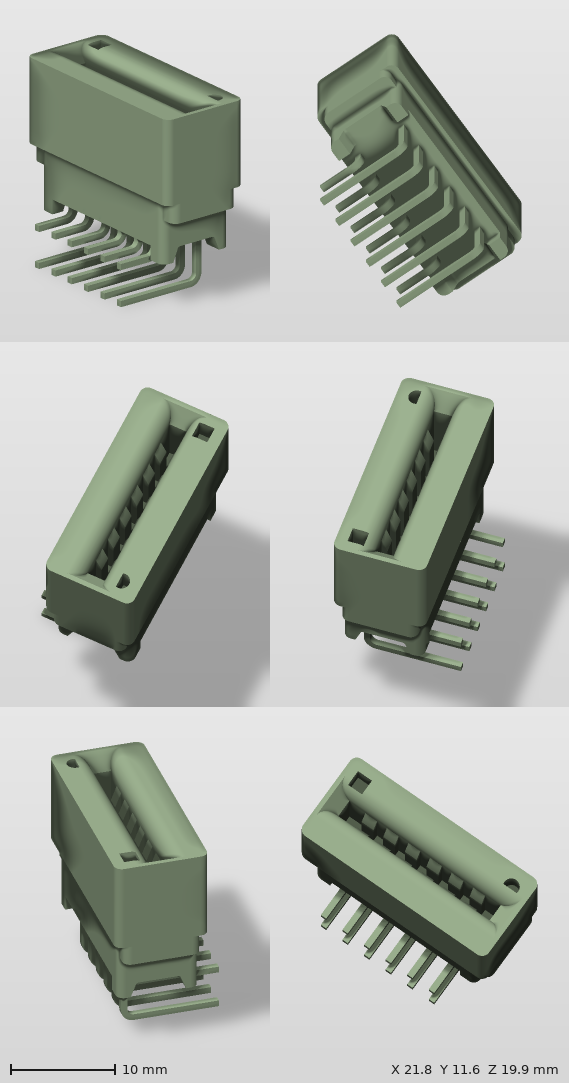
import cadquery as cq
import math


BODY_LENGTH = 21.84
BODY_WIDTH = 9.35
OVERALL_HEIGHT = 19.93
OVERALL_WIDTH = 11.63
BODY_HEIGHT = 8.89
CORNER_RADIUS = 0.815

EAR_WIDTH = 7.68
EAR_BOTTOM = -10.92

BASE_LENGTH = 19.0
BASE_WIDTH = 8.13
LEG_BOTTOM = -15.49
BASE_UNDERSIDE = -13.97
LEG_SPACING = 15.24
ARCH_MOUTH_WIDTH = 5.56
ARCH_ROOF_WIDTH = 4.34
ARCH_FILLET = 0.3

SLOT_LENGTH = 17.8
SLOT_WIDTH = 1.88
SLOT_DEPTH = 7.62
MOUTH_LENGTH = 20.87
LEAD_IN_RADIUS = 1.524
MOUTH_WIDTH = SLOT_WIDTH + 2 * LEAD_IN_RADIUS

SOCKET_X = 8.89
SOCKET_Y = 2.68
SOCKET_SIZE = 1.63
SOCKET_DEPTH = 2.54

PIN_COUNT = 6
PITCH = 2.54
CONTACT_WIDTH = 1.4
CONTACT_PROTRUSION = 0.6
CONTACT_RAMP_TOP = -2.1
CONTACT_RAMP_HEIGHT = 1.524
CONTACT_EMBED = 0.5
PIN_THICKNESS = 0.635
PIN_ROW_Y = 2.54
PIN_ROW_RISE = 3.81
PIN_EMBED = 1.0
BEND_RADIUS = 0.635

PIN_TIP_Y = BODY_WIDTH / 2 - OVERALL_WIDTH
COLUMN_X = [(i - (PIN_COUNT - 1) / 2) * PITCH for i in range(PIN_COUNT)]


def rounded_block(length, width, top, bottom):
    """Block centred in X and Y with rounded vertical corners."""
    block = cq.Workplane("XY", origin=(0, 0, bottom)).rect(length, width).extrude(top - bottom)
    return block.edges("|Z").fillet(CORNER_RADIUS)


def extrude_along_x(profile, length, center_x=0):
    """Extrude a closed YZ profile symmetrically about the plane X = center_x."""
    return profile.extrude(length / 2, both=True).translate((center_x, 0, 0))


def housing():
    """Body, ears and base block, with the underside relieved between the legs."""
    body = rounded_block(BODY_LENGTH, BODY_WIDTH, 0, -BODY_HEIGHT)
    ears = rounded_block(BODY_LENGTH, EAR_WIDTH, -BODY_HEIGHT, EAR_BOTTOM)
    base = rounded_block(BASE_LENGTH, BASE_WIDTH, -BODY_HEIGHT, LEG_BOTTOM)
    relief_height = BASE_UNDERSIDE - LEG_BOTTOM
    relief = cq.Workplane("XY", origin=(0, 0, LEG_BOTTOM)).rect(LEG_SPACING, BASE_WIDTH)
    relief = relief.extrude(relief_height)
    return body.union(ears).union(base).cut(relief).cut(leg_arch())


def leg_arch():
    """Tapered channel along X that splits each leg into two feet."""
    profile = (
        cq.Workplane("YZ")
        .moveTo(-ARCH_MOUTH_WIDTH / 2, LEG_BOTTOM)
        .lineTo(-ARCH_ROOF_WIDTH / 2, BASE_UNDERSIDE)
        .lineTo(ARCH_ROOF_WIDTH / 2, BASE_UNDERSIDE)
        .lineTo(ARCH_MOUTH_WIDTH / 2, LEG_BOTTOM)
        .close()
    )
    return extrude_along_x(profile, BASE_LENGTH).edges("|X and >Z").fillet(ARCH_FILLET)


def card_slot():
    """Straight slot below a mouth with convex long sides and sloped ends."""
    slot = cq.Workplane("XY").rect(SLOT_LENGTH, SLOT_WIDTH).extrude(-SLOT_DEPTH)
    arc_offset = LEAD_IN_RADIUS * math.sqrt(0.5)
    arc_mid_y = MOUTH_WIDTH / 2 - arc_offset
    arc_mid_z = arc_offset - LEAD_IN_RADIUS
    flare = extrude_along_x(
        cq.Workplane("YZ")
        .moveTo(-MOUTH_WIDTH / 2, 0)
        .threePointArc((-arc_mid_y, arc_mid_z), (-SLOT_WIDTH / 2, -LEAD_IN_RADIUS))
        .lineTo(SLOT_WIDTH / 2, -LEAD_IN_RADIUS)
        .threePointArc((arc_mid_y, arc_mid_z), (MOUTH_WIDTH / 2, 0))
        .close(),
        MOUTH_LENGTH,
    )
    end_limits = (
        cq.Workplane("XZ")
        .moveTo(-MOUTH_LENGTH / 2, 0)
        .lineTo(-SLOT_LENGTH / 2, -LEAD_IN_RADIUS)
        .lineTo(SLOT_LENGTH / 2, -LEAD_IN_RADIUS)
        .lineTo(MOUTH_LENGTH / 2, 0)
        .close()
        .extrude(MOUTH_WIDTH, both=True)
    )
    return slot.union(flare.intersect(end_limits))


def square_socket():
    """Square socket that also breaks into the lead-in."""
    socket = cq.Workplane("XY").rect(SOCKET_SIZE, SOCKET_SIZE).extrude(-SOCKET_DEPTH)
    return socket.translate((-SOCKET_X, SOCKET_Y, 0))


def round_socket():
    """Round socket cut off flat where it reaches the edge of the mouth."""
    socket = cq.Workplane("XY").circle(SOCKET_SIZE / 2).extrude(-SOCKET_DEPTH)
    keep = cq.Workplane("XY").rect(SOCKET_SIZE, SOCKET_SIZE).extrude(-SOCKET_DEPTH)
    keep = keep.translate((0, MOUTH_WIDTH / 2 + SOCKET_SIZE / 2 - SOCKET_Y, 0))
    return socket.intersect(keep).translate((SOCKET_X, SOCKET_Y, 0))


def contact(x, side):
    """Contact with a ramped top on the slot wall at +Y (side = 1) or -Y (side = -1)."""
    wall = SLOT_WIDTH / 2
    back = side * (wall + CONTACT_EMBED)
    front = side * (wall - CONTACT_PROTRUSION)
    profile = (
        cq.Workplane("YZ")
        .moveTo(back, CONTACT_RAMP_TOP)
        .lineTo(side * wall, CONTACT_RAMP_TOP)
        .lineTo(front, CONTACT_RAMP_TOP - CONTACT_RAMP_HEIGHT)
        .lineTo(front, -SLOT_DEPTH)
        .lineTo(back, -SLOT_DEPTH)
        .close()
    )
    return extrude_along_x(profile, CONTACT_WIDTH, x)


def pin(x, row_y, tail_bottom):
    """Square pin that drops from the base and bends to a horizontal tail toward -Y."""
    stem_back = row_y + PIN_THICKNESS / 2
    stem_front = row_y - PIN_THICKNESS / 2
    tail_top = tail_bottom + PIN_THICKNESS
    stem_top = BASE_UNDERSIDE + PIN_EMBED
    bend_y = stem_front - BEND_RADIUS
    bend_z = tail_top + BEND_RADIUS
    outer_offset = (BEND_RADIUS + PIN_THICKNESS) * math.sqrt(0.5)
    inner_offset = BEND_RADIUS * math.sqrt(0.5)
    profile = (
        cq.Workplane("YZ")
        .moveTo(stem_back, stem_top)
        .lineTo(stem_back, bend_z)
        .threePointArc((bend_y + outer_offset, bend_z - outer_offset), (bend_y, tail_bottom))
        .lineTo(PIN_TIP_Y, tail_bottom)
        .lineTo(PIN_TIP_Y, tail_top)
        .lineTo(bend_y, tail_top)
        .threePointArc((bend_y + inner_offset, bend_z - inner_offset), (stem_front, bend_z))
        .lineTo(stem_front, stem_top)
        .close()
    )
    return extrude_along_x(profile, PIN_THICKNESS, x)


result = housing().cut(card_slot()).cut(square_socket()).cut(round_socket())
for column in COLUMN_X:
    result = result.union(contact(column, 1)).union(contact(column, -1))
    result = result.union(pin(column, PIN_ROW_Y, -OVERALL_HEIGHT))
    result = result.union(pin(column, -PIN_ROW_Y, -OVERALL_HEIGHT + PIN_ROW_RISE))